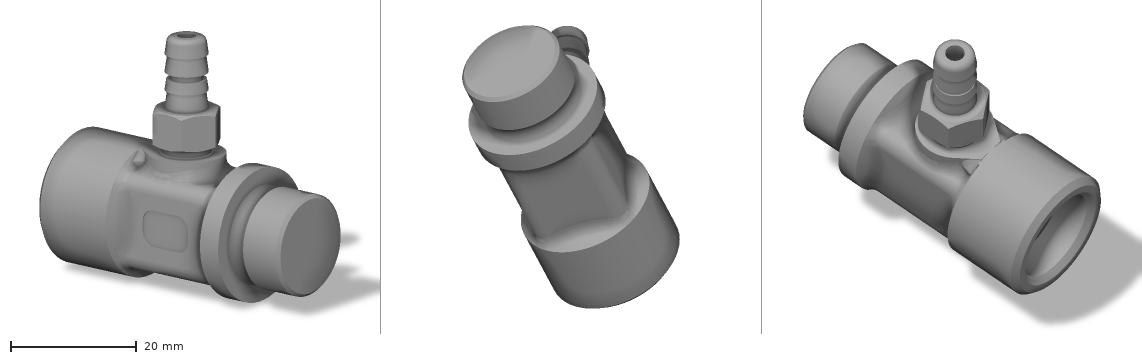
import cadquery as cq
import math

length = 47.0
body_radius = 11.0
socket_length = 14.2
socket_chamfer = 1.05
bore_radius = 15.3 / 2
bore_depth = 6.5
bore_chamfer = 1.0
flange_start = 33.28
flange_end = 36.95
spigot_radius = 16.65 / 2
spigot_start = 39.9
spigot_chamfer = 0.55
groove_bottom_radius = 7.4
groove_bottom_x = 38.4
groove_entry_radius = 8.2
groove_chamfer = 0.4

neck_half_width = 8.0
neck_corner_radius = 2.5
shoulder_angle = 30.0
blend_radius = 2.0
neck_tolerance = 0.05

panel_center_x = 23.9
panel_length = 9.1
panel_height = 6.1
panel_corner_radius = 2.1
panel_depth = 0.2

branch_x = 21.95
boss_radius = 6.35
boss_top = body_radius
web_half_width = 2.35
web_root_x = 14.48
web_overlap = 1.9
rim_bottom = 10.55

gusset_end_x = 17.4
gusset_end_half_width = 4.25
gusset_end_knee = 9.65
gusset_root_half_width = 4.7
gusset_root_knee = 9.05

seat_radius = 4.4
seat_top = 11.25
collar_radius = 8 / 2
hex_bottom = 12.25
hex_top = 18.42
hex_across_flats = 10.1
hex_chamfer_radius = 4.85
hex_chamfer_height = 0.55
barb_radius = 3.52
barb_root_radius = 6.2 / 2
barb_short_root_radius = 3.25
barb_groove_radius = 5.3 / 2
lower_barb_edge = 21.4
barb_groove_bottom = 23.2
middle_barb_edge = 24.35
upper_barb_edge = 27.35
fitting_top = 30.3
tip_radius = 1.0
hose_bore_radius = 3.1 / 2
hose_bore_depth = 18.8

shoulder_run = body_radius * math.tan(math.radians(shoulder_angle))


def turned_about_x(outline):
    return outline.close().revolve(360, (0, 0, 0), (1, 0, 0))


def turned_about_branch(outline):
    return outline.close().revolve(360, (0, 0, 0), (0, 1, 0)).translate((branch_x, 0, 0))


def socket():
    return turned_about_x(
        cq.Workplane("XY")
        .lineTo(0, body_radius - socket_chamfer)
        .lineTo(socket_chamfer, body_radius)
        .lineTo(socket_length, body_radius)
        .lineTo(socket_length + shoulder_run, 0)
    )


def flange():
    return turned_about_x(
        cq.Workplane("XY")
        .moveTo(flange_start - shoulder_run, 0)
        .lineTo(flange_start, body_radius)
        .lineTo(flange_end, body_radius)
        .lineTo(flange_end, 0)
    )


def spigot():
    return turned_about_x(
        cq.Workplane("XY")
        .moveTo(flange_end, 0)
        .lineTo(flange_end, groove_entry_radius)
        .threePointArc(
            (groove_bottom_x, groove_bottom_radius),
            (spigot_start - groove_chamfer, spigot_radius - groove_chamfer),
        )
        .lineTo(spigot_start, spigot_radius)
        .lineTo(length - spigot_chamfer, spigot_radius)
        .lineTo(length, spigot_radius - spigot_chamfer)
        .lineTo(length, 0)
    )


def socket_bore():
    mouth_radius = bore_radius + bore_chamfer
    return turned_about_x(
        cq.Workplane("XY")
        .lineTo(0, mouth_radius)
        .lineTo(bore_chamfer, bore_radius)
        .lineTo(bore_depth, bore_radius)
        .lineTo(bore_depth, 0)
    )


def neck(start, end):
    width = 2 * neck_half_width
    return (
        cq.Workplane("YZ", origin=(start, 0, 0))
        .rect(width, width)
        .extrude(end - start)
        .edges("|X")
        .fillet(neck_corner_radius)
    )


def body():
    """Socket, neck and flange, with fillets where the neck meets the shoulder cones."""
    sharp = socket().union(flange()).union(neck(socket_length, flange_start))

    def is_shoulder_edge(edge):
        box = edge.BoundingBox()
        return box.xmin > socket_length and box.xmax < flange_start and edge.geomType() != "LINE"

    shoulder_edges = [edge for edge in sharp.edges().vals() if is_shoulder_edge(edge)]
    return sharp.newObject(shoulder_edges).fillet(blend_radius)


def boss():
    """Boss and web on a stretch of neck, with a fillet round the foot."""
    root_offset = branch_x - web_root_x
    root_distance = math.hypot(root_offset, web_half_width)
    touch_angle = math.acos(boss_radius / root_distance) + math.atan2(web_half_width, root_offset)
    touch_x = branch_x - boss_radius * math.cos(touch_angle)
    touch_y = boss_radius * math.sin(touch_angle)
    web_slope = (touch_y - web_half_width) / (touch_x - web_root_x)
    web_end_x = socket_length - web_overlap
    web_end_y = touch_y - web_slope * (touch_x - web_end_x)
    column = (
        cq.Workplane("XY")
        .moveTo(web_end_x, -web_end_y)
        .lineTo(touch_x, -touch_y)
        .threePointArc((branch_x + boss_radius, 0), (touch_x, touch_y))
        .lineTo(web_end_x, web_end_y)
        .close()
        .extrude(boss_top)
    )
    stem_start = socket_length - 2 * boss_radius
    joined = neck(stem_start, flange_start).union(column)

    def is_foot_edge(edge):
        box = edge.BoundingBox()
        at_neck_top = abs(box.zmax - neck_half_width) < neck_tolerance
        on_column = box.xmin > stem_start and box.xmax < flange_start - neck_tolerance
        return at_neck_top and on_column

    foot_edges = [edge for edge in joined.edges().vals() if is_foot_edge(edge)]
    rounded = joined.newObject(foot_edges).fillet(blend_radius)
    past_socket = (
        cq.Workplane("YZ", origin=(web_root_x, 0, 0))
        .rect(2 * body_radius, 2 * body_radius)
        .extrude(flange_start - web_root_x)
    )
    return rounded.intersect(past_socket)


def socket_rim():
    """Short stretch of the socket's round surface that meets the flat top of the web."""
    disc = (
        cq.Workplane("YZ", origin=(socket_length, 0, 0))
        .circle(body_radius)
        .extrude(web_root_x - socket_length)
    )
    space_above = (
        cq.Workplane("XY", origin=(socket_length, 0, rim_bottom))
        .rect(2 * body_radius, 2 * body_radius)
        .extrude(body_radius - rim_bottom)
    )
    return disc.intersect(space_above)


def web_gusset():
    """Sloping sides of the web: shallow at the socket and upright at the boss."""

    def section(top_half_width, half_width, knee):
        right_side = [(top_half_width, boss_top), (half_width, knee), (half_width, 0)]
        left_side = [(-y, z) for y, z in reversed(right_side)]
        return right_side + left_side

    return (
        cq.Workplane("YZ", origin=(web_root_x, 0, 0))
        .polyline(section(web_half_width, gusset_root_half_width, gusset_root_knee))
        .close()
        .workplane(offset=gusset_end_x - web_root_x)
        .polyline(section(gusset_end_half_width, gusset_end_half_width, gusset_end_knee))
        .close()
        .loft(ruled=True)
    )


def side_panel():
    return (
        cq.Workplane("XZ", origin=(panel_center_x, -neck_half_width, 0))
        .rect(panel_length, panel_height)
        .extrude(-panel_depth)
        .edges("|Y")
        .fillet(panel_corner_radius)
    )


def fitting_core():
    """Turned parts of the hose fitting: seat, collar and barbs."""
    core = turned_about_branch(
        cq.Workplane("XZ")
        .lineTo(seat_radius, 0)
        .lineTo(seat_radius, seat_top)
        .lineTo(collar_radius, seat_top)
        .lineTo(collar_radius, hex_top)
        .lineTo(barb_radius, hex_top)
        .lineTo(barb_root_radius, lower_barb_edge)
        .lineTo(barb_radius, lower_barb_edge)
        .lineTo(barb_short_root_radius, barb_groove_bottom)
        .lineTo(barb_groove_radius, barb_groove_bottom)
        .lineTo(barb_groove_radius, middle_barb_edge)
        .lineTo(barb_radius, middle_barb_edge)
        .lineTo(barb_root_radius, upper_barb_edge)
        .lineTo(barb_radius, upper_barb_edge)
        .lineTo(barb_root_radius, fitting_top)
        .lineTo(0, fitting_top)
    )
    return core.faces(">Z").edges().fillet(tip_radius)


def hexagon():
    """Hexagon with two flats facing -Y and +Y and both ends chamfered conically."""
    corner_radius = hex_across_flats / 2 / math.cos(math.pi / 6)
    prism = (
        cq.Workplane("XY", origin=(branch_x, 0, hex_bottom))
        .polygon(6, 2 * corner_radius)
        .extrude(hex_top - hex_bottom)
    )
    chamfer_cones = turned_about_branch(
        cq.Workplane("XZ")
        .moveTo(0, hex_bottom)
        .lineTo(hex_chamfer_radius, hex_bottom)
        .lineTo(corner_radius, hex_bottom + hex_chamfer_height)
        .lineTo(corner_radius, hex_top - hex_chamfer_height)
        .lineTo(hex_chamfer_radius, hex_top)
        .lineTo(0, hex_top)
    )
    return prism.intersect(chamfer_cones)


def hose_bore():
    return (
        cq.Workplane("XY", origin=(branch_x, 0, fitting_top))
        .circle(hose_bore_radius)
        .extrude(-hose_bore_depth)
    )


result = (
    body()
    .union(boss())
    .union(socket_rim())
    .union(web_gusset())
    .union(spigot())
    .union(fitting_core())
    .union(hexagon())
    .cut(socket_bore())
    .cut(hose_bore())
    .cut(side_panel())
)